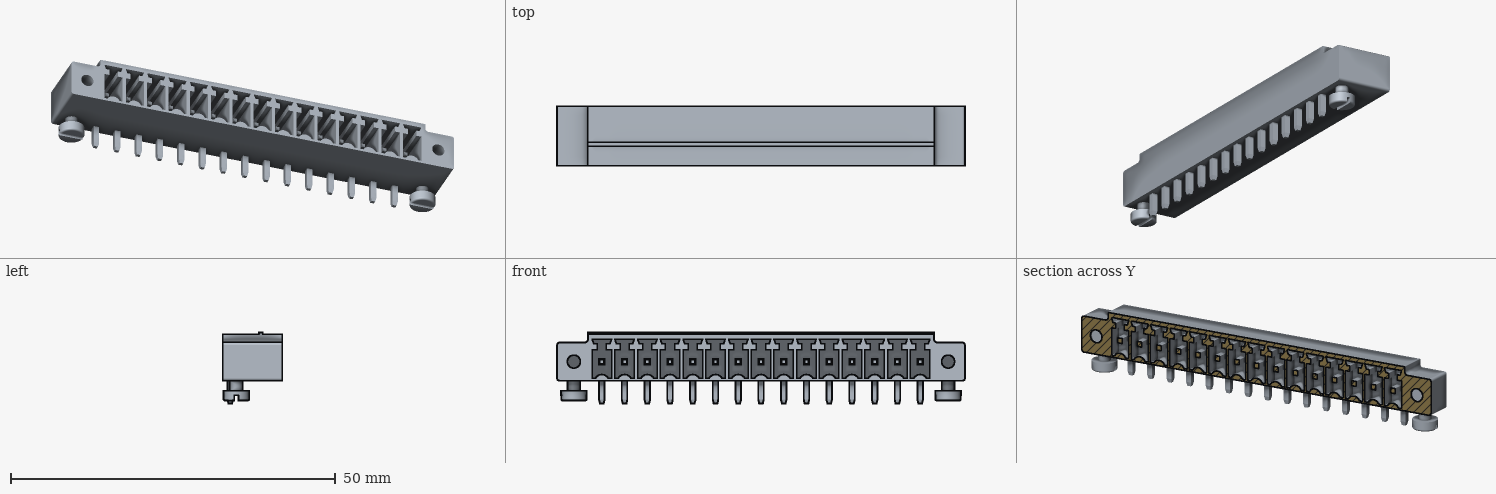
import cadquery as cq
import math


housing_length = 62.8
housing_depth = 9.2
shroud_length = 53.3
shroud_height = 7.2
flange_height = 5.9
flange_edge_radius = 0.4
shroud_foot_radius = 0.5
front_y = -housing_depth / 2

rib_width = 0.6
rib_height = 0.25
rib_y = -1.3

ways = 15
pitch = 3.5
cavity_width = 3.0
cavity_depth = 6.8
cavity_floor = 0.37
cavity_shoulder = 4.75
neck_width = 1.4
dovetail_bottom = 5.7
dovetail_bottom_width = 2.5
cavity_top = 6.42

ridge_width = 2.0
ridge_height = 0.6

contact_size = 0.9
contact_tip_size = 0.6
contact_tip_length = 0.65
contact_z = 2.95
blade_length = 4.0
solder_pin_length = 3.5
solder_pin_y = 3.43

flange_center_x = 28.8
flange_hole_diameter = 2.0
flange_hole_depth = 5.0
screw_y = 2.48
shank_diameter = 2.0
shank_length = 1.5
head_diameter = 4.0
head_height = 1.55
head_edge_radius = 0.3
slot_width = 0.6
slot_depth = 0.8

way_positions = [(way - (ways - 1) / 2) * pitch for way in range(ways)]
flange_positions = [-flange_center_x, flange_center_x]


def front_plane(x=0.0):
    """Plane on the mating face: local x is X, local y is Z, normal is -Y."""
    return cq.Plane(origin=(x, front_y, 0), xDir=(1, 0, 0), normal=(0, -1, 0))


def make_housing():
    half_length = housing_length / 2
    half_shroud = shroud_length / 2
    outline = [
        (-half_length, 0),
        (half_length, 0),
        (half_length, flange_height),
        (half_shroud, flange_height),
        (half_shroud, shroud_height),
        (-half_shroud, shroud_height),
        (-half_shroud, flange_height),
        (-half_length, flange_height),
    ]
    housing = cq.Workplane(front_plane()).polyline(outline).close().extrude(-housing_depth)
    housing = housing.edges("|Y and (<X or >X)").fillet(flange_edge_radius)
    for side in (-1, 1):
        foot = cq.selectors.NearestToPointSelector((side * half_shroud, 0, flange_height))
        housing = housing.edges("|Y").edges(foot).fillet(shroud_foot_radius)
    rib = cq.Workplane("XY", origin=(0, rib_y, shroud_height)).box(
        shroud_length, rib_width, rib_height, centered=(True, True, False)
    )
    return housing.union(rib)


def make_cavity(x):
    half_cavity = cavity_width / 2
    half_neck = neck_width / 2
    half_dovetail = dovetail_bottom_width / 2
    half_ridge = ridge_width / 2
    return (
        cq.Workplane(front_plane(x))
        .moveTo(half_ridge, cavity_floor)
        .lineTo(half_cavity, cavity_floor)
        .lineTo(half_cavity, cavity_shoulder)
        .lineTo(half_neck, cavity_shoulder)
        .lineTo(half_neck, dovetail_bottom)
        .lineTo(half_dovetail, dovetail_bottom)
        .lineTo(half_cavity, cavity_top)
        .lineTo(-half_cavity, cavity_top)
        .lineTo(-half_dovetail, dovetail_bottom)
        .lineTo(-half_neck, dovetail_bottom)
        .lineTo(-half_neck, cavity_shoulder)
        .lineTo(-half_cavity, cavity_shoulder)
        .lineTo(-half_cavity, cavity_floor)
        .lineTo(-half_ridge, cavity_floor)
        .threePointArc((0, cavity_floor + ridge_height), (half_ridge, cavity_floor))
        .close()
        .extrude(-cavity_depth)
    )


def make_contact(plane, length):
    """Square bar rising from the plane, ending in a tapered tip."""
    shaft_length = length - contact_tip_length
    shaft = cq.Workplane(plane).rect(contact_size, contact_size).extrude(shaft_length)
    taper = math.degrees(math.atan2((contact_size - contact_tip_size) / 2, contact_tip_length))
    tip = (
        cq.Workplane(plane)
        .workplane(offset=shaft_length)
        .rect(contact_size, contact_size)
        .extrude(contact_tip_length, taper=taper)
    )
    return shaft.union(tip)


def make_blade(x):
    root_y = front_y + cavity_depth
    return make_contact(
        cq.Plane(origin=(x, root_y, contact_z), xDir=(1, 0, 0), normal=(0, -1, 0)), blade_length
    )


def make_solder_pin(x):
    return make_contact(
        cq.Plane(origin=(x, solder_pin_y, 0), xDir=(1, 0, 0), normal=(0, 0, -1)), solder_pin_length
    )


def make_flange_hole(x):
    return (
        cq.Workplane(front_plane(x))
        .center(0, contact_z)
        .circle(flange_hole_diameter / 2)
        .extrude(-flange_hole_depth)
    )


def make_screw(x):
    head_bottom = -shank_length - head_height
    shank = cq.Workplane("XY", origin=(x, screw_y, 0)).circle(shank_diameter / 2).extrude(-shank_length)
    head = (
        cq.Workplane("XY", origin=(x, screw_y, head_bottom))
        .circle(head_diameter / 2)
        .extrude(head_height)
        .faces("<Z")
        .edges()
        .fillet(head_edge_radius)
    )
    slot = cq.Workplane("XY", origin=(x, screw_y, head_bottom)).box(
        head_diameter, slot_width, slot_depth, centered=(True, True, False)
    )
    return shank.union(head.cut(slot))


result = make_housing()
for way_x in way_positions:
    result = result.cut(make_cavity(way_x))
    result = result.union(make_blade(way_x)).union(make_solder_pin(way_x))
for flange_x in flange_positions:
    result = result.cut(make_flange_hole(flange_x)).union(make_screw(flange_x))